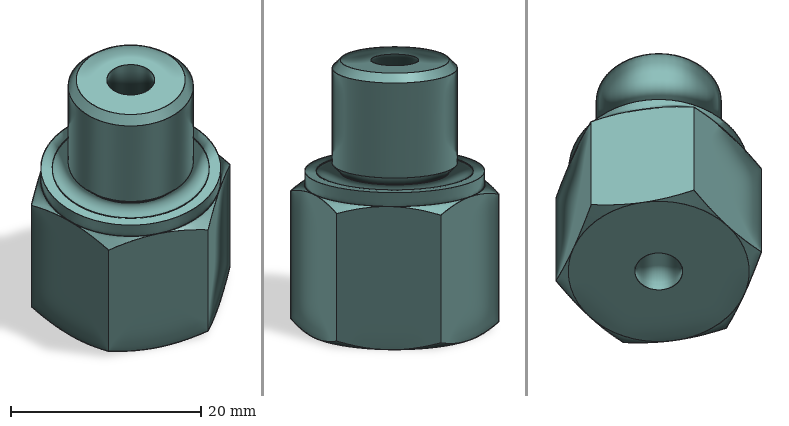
import cadquery as cq
import math

hex_sides = 6
hex_across_flats = 19.0
hex_height = 15.5
hex_chamfer_angle = 30.0

collar_diameter = 18.9
collar_thickness = 1.5
seal_recess_diameter = 16.5
seal_recess_depth = 0.1

overall_height = 29.0
thread_diameter = 13.16
thread_root_diameter = 11.445

bore_diameter = 5.0

hex_across_corners = hex_across_flats / math.cos(math.radians(180 / hex_sides))
collar_top = hex_height + collar_thickness


def revolve_about_z(profile):
    """Turn a closed (radius, z) profile about the Z axis."""
    return cq.Workplane("XZ").polyline(profile).close().revolve(360, (0, 0), (0, 1))


def make_hex_body():
    """Hexagon with corners on the Y axis, its corners turned off at both ends."""
    prism = (
        cq.Workplane("XY")
        .transformed(rotate=(0, 0, 90))
        .polygon(hex_sides, hex_across_corners)
        .extrude(hex_height)
    )
    face_radius = hex_across_flats / 2
    corner_radius = hex_across_corners / 2
    drop = (corner_radius - face_radius) * math.tan(math.radians(hex_chamfer_angle))
    envelope = revolve_about_z([
        (0, 0),
        (face_radius, 0),
        (corner_radius, drop),
        (corner_radius, hex_height - drop),
        (face_radius, hex_height),
        (0, hex_height),
    ])
    return prism.intersect(envelope)


def make_collar():
    """Collar with a shallow round seal recess in its top face."""
    return (
        cq.Workplane("XY")
        .workplane(offset=hex_height)
        .circle(collar_diameter / 2)
        .extrude(collar_thickness)
        .faces(">Z")
        .workplane()
        .hole(seal_recess_diameter, seal_recess_depth)
    )


def make_spigot():
    """Spigot rising from the recess floor: short neck, 45 degree flare, thread, 45 degree chamfer."""
    thread_radius = thread_diameter / 2
    root_radius = thread_root_diameter / 2
    thread_depth = thread_radius - root_radius
    recess_floor = collar_top - seal_recess_depth
    return revolve_about_z([
        (0, recess_floor),
        (root_radius, recess_floor),
        (root_radius, collar_top),
        (thread_radius, collar_top + thread_depth),
        (thread_radius, overall_height - thread_depth),
        (root_radius, overall_height),
        (0, overall_height),
    ])


def make_bore():
    """Through hole along the axis."""
    return cq.Workplane("XY").circle(bore_diameter / 2).extrude(overall_height)


result = make_hex_body().union(make_collar()).union(make_spigot()).cut(make_bore())